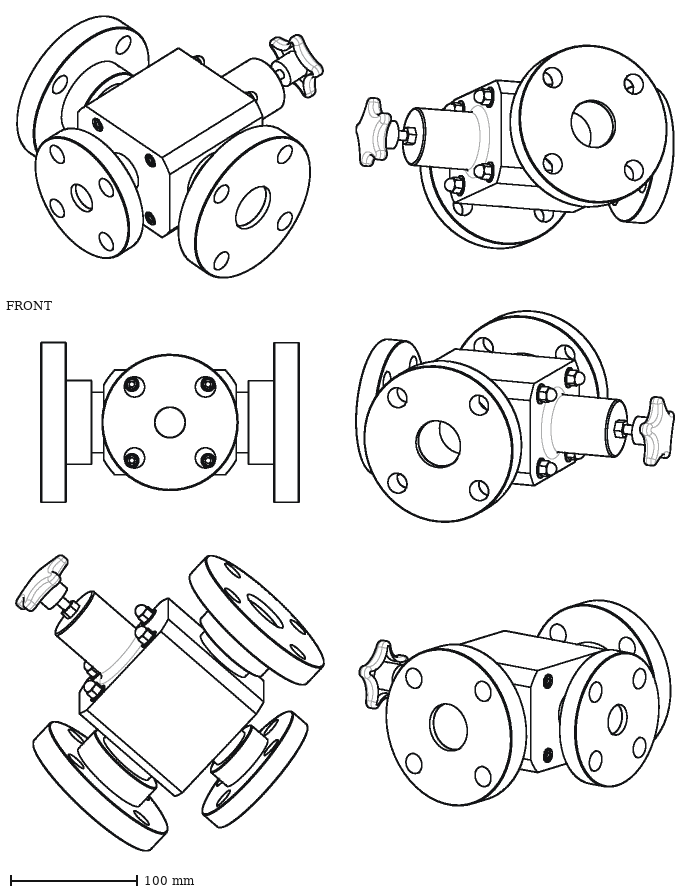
import cadquery as cq
import math

OVERLAP = 1.2

block_half_x = 52.6
block_half_z = 41.7
block_corner_radius = 60.5
block_front = -43.5
block_back = 58.5

edge_chamfer = 0.7
bore_mouth_depth = 4.9
flange_hole_diameter = 16.0

side_face = 102.5
side_flange_diameter = 127.0
side_flange_thickness = 20.2
side_hub_diameter = 66.5
side_hub_length = 20.5
side_neck_diameter = 48.2
side_hole_pitch = 69.7
side_mouth_diameter = 38.0
side_bore_diameter = 37.5

front_face = 90.0
front_flange_diameter = 108.0
front_flange_thickness = 16.5
front_hub_diameter = 49.2
front_hub_length = 17.5
front_neck_diameter = 33.5
front_hole_pitch = 56.3
front_mouth_diameter = 24.4
front_bore_diameter = 23.9

bolt_pitch = 60.5
bolt_recess_diameter = 11.0
bolt_recess_depth = 4.9
bolt_head_diameter = 9.5
bolt_head_face_diameter = 7.5
bolt_head_sink = 0.5
bolt_socket_diameter = 4.5
bolt_socket_depth = 2.2
washer_diameter = 15.8
washer_thickness = 0.7
nut_flats = 11.0
nut_height = 6.5
nut_bevel = 0.7
dome_diameter = 10.2
dome_height = 6.0

bonnet_diameter = 45.8
bonnet_end = 112.0
bonnet_chamfer = 1.2
bonnet_root_fillet = 5.8

stem_nut_flats = 12.5
stem_nut_end = 118.7
stem_diameter = 7.5
grip_hub_start = 129.0
grip_hub_diameter = 22.2

grip_start = 141.0
grip_end = 153.7
lobe_count = 5
lobe_tip_radius = 28.5
lobe_diameter = 9.5
valley_radius = 14.5
crown_radius = 109.6
grip_top_fillet = 3.0
grip_bottom_fillet = 3.2
grip_rim_width = 3.5
grip_hollow_depth = 5.8


def y_plane(y, x=0.0, z=0.0):
    """Sketch plane facing +Y: local x is -X, local y is Z."""
    return cq.Plane(origin=(x, y, z), xDir=(-1, 0, 0), normal=(0, 1, 0))


def y_cylinder(diameter, y_start, y_end, x=0.0, z=0.0):
    return cq.Workplane(y_plane(y_start, x, z)).circle(diameter / 2).extrude(y_end - y_start)


def z_cylinder(diameter, z_start, length):
    return cq.Workplane().workplane(offset=z_start).circle(diameter / 2).extrude(length)


def y_hexagon(across_flats, y_start, y_end, x=0.0, z=0.0):
    """Hexagonal prism along Y, with two corners along X."""
    across_corners = across_flats / math.cos(math.pi / 6)
    plane = cq.Workplane(y_plane(y_start, x, z))
    return plane.polygon(6, across_corners).extrude(y_end - y_start)


def make_block():
    plane = cq.Workplane(y_plane(block_front))
    length = block_back - block_front
    bar = plane.rect(2 * block_half_x, 2 * block_half_z).extrude(length)
    return bar.intersect(y_cylinder(2 * block_corner_radius, block_front, block_back))


def make_port(
    face, block_face, flange_diameter, flange_thickness, hub_diameter, hub_length, neck_diameter
):
    """Flanged port along +Z, from the block face out to the flange face."""
    hub_top = face - flange_thickness
    hub_start = hub_top - hub_length
    neck_start = block_face - OVERLAP
    neck = z_cylinder(neck_diameter, neck_start, hub_top - neck_start)
    hub = z_cylinder(hub_diameter, hub_start, hub_length).faces("<Z").chamfer(edge_chamfer)
    flange = z_cylinder(flange_diameter, hub_top, flange_thickness)
    flange = flange.faces("<Z or >Z").chamfer(edge_chamfer)
    return neck.union(hub).union(flange)


def make_port_cuts(face, block_face, hole_pitch, mouth_diameter, bore_diameter):
    """Stepped bore down to the block face, and four flange holes on a square."""
    top = cq.Workplane().workplane(offset=face)
    mouth = top.circle(mouth_diameter / 2).extrude(-bore_mouth_depth)
    bore = top.circle(bore_diameter / 2).extrude(block_face - face)
    holes = top.rect(hole_pitch, hole_pitch, forConstruction=True).vertices()
    holes = holes.circle(flange_hole_diameter / 2).extrude(block_face - face)
    return mouth.union(bore).union(holes)


def make_side_port():
    port = make_port(
        side_face, block_half_x,
        side_flange_diameter, side_flange_thickness,
        side_hub_diameter, side_hub_length,
        side_neck_diameter,
    )
    cuts = make_port_cuts(
        side_face, block_half_x, side_hole_pitch, side_mouth_diameter, side_bore_diameter
    )
    return port.cut(cuts)


def make_front_port():
    port = make_port(
        front_face, -block_front,
        front_flange_diameter, front_flange_thickness,
        front_hub_diameter, front_hub_length,
        front_neck_diameter,
    )
    cuts = make_port_cuts(
        front_face, -block_front, front_hole_pitch, front_mouth_diameter, front_bore_diameter
    )
    return port.cut(cuts)


def make_bonnet():
    return y_cylinder(bonnet_diameter, block_back, bonnet_end).faces(">Y").chamfer(bonnet_chamfer)


def make_cap_nut(x, z):
    """Washer and domed hexagon nut on the back of the block, nut corners along Z."""
    washer_top = block_back + washer_thickness
    nut_top = washer_top + nut_height
    washer = y_cylinder(washer_diameter, block_back - OVERLAP, washer_top, x, z)
    nut = y_hexagon(nut_flats, block_back, nut_top, x, z).rotate((x, 0, z), (x, 1, z), 90)
    nut_corners = nut_flats / math.cos(math.pi / 6)
    bevel = y_cylinder(nut_corners, block_back, nut_top, x, z).faces(">Y").chamfer(nut_bevel)
    nut = nut.intersect(bevel)
    dome_radius = dome_diameter / 2
    dome_centre = nut_top + dome_height - dome_radius
    dome = cq.Workplane().sphere(dome_radius).translate((x, dome_centre, z))
    return washer.union(nut).union(dome)


def make_bolt_recess(x, z):
    """Ring groove around a bolt head, its bevel and its pointed socket, all to be cut away."""
    recess_r = bolt_recess_diameter / 2
    head_r = bolt_head_diameter / 2
    face_r = bolt_head_face_diameter / 2
    socket_r = bolt_socket_diameter / 2
    face_depth = bolt_head_sink
    bevel_depth = face_depth + head_r - face_r
    socket_end = face_depth + bolt_socket_depth
    profile = cq.Workplane("XY").polyline([
        (0, 0),
        (recess_r, 0),
        (recess_r, bolt_recess_depth),
        (head_r, bolt_recess_depth),
        (head_r, bevel_depth),
        (face_r, face_depth),
        (socket_r, face_depth),
        (socket_r, socket_end),
        (0, socket_end + socket_r),
    ]).close()
    return profile.revolve(360, (0, 0), (0, 1)).translate((x, block_front, z))


def star_outline(plane):
    """Lobes with tangent concave arcs between them, one lobe on local +y."""
    lobe_radius = lobe_diameter / 2
    lobe_centre = lobe_tip_radius - lobe_radius
    half_step = math.pi / lobe_count
    half_chord = lobe_centre * math.sin(half_step)
    centre_gap = valley_radius + lobe_radius
    valley_centre = lobe_centre * math.cos(half_step) + math.sqrt(centre_gap**2 - half_chord**2)

    def polar(radius, angle):
        return (radius * math.cos(angle), radius * math.sin(angle))

    def tangent_point(lobe_angle, valley_angle):
        lobe_x, lobe_y = polar(lobe_centre, lobe_angle)
        valley_x, valley_y = polar(valley_centre, valley_angle)
        share = lobe_radius / centre_gap
        return (lobe_x + share * (valley_x - lobe_x), lobe_y + share * (valley_y - lobe_y))

    first_angle = math.pi / 2
    outline = cq.Workplane(plane).moveTo(*tangent_point(first_angle, first_angle - half_step))
    for index in range(lobe_count):
        angle = first_angle + 2 * half_step * index
        valley_angle = angle + half_step
        next_angle = valley_angle + half_step
        outline = outline.threePointArc(polar(lobe_tip_radius, angle), tangent_point(angle, valley_angle))
        valley_bottom = polar(valley_centre - valley_radius, valley_angle)
        outline = outline.threePointArc(valley_bottom, tangent_point(next_angle, valley_angle))
    return outline.close()


def make_grip():
    """Crowned star grip with rounded edges, hollow around its hub."""
    star = star_outline(y_plane(grip_start)).extrude(grip_end - grip_start + OVERLAP)
    crown = cq.Workplane().sphere(crown_radius).translate((0, grip_end - crown_radius, 0))
    grip = star.intersect(crown)
    grip = grip.faces("<Y").edges().fillet(grip_bottom_fillet)
    grip = grip.faces(">Y").edges().fillet(grip_top_fillet)
    hollow = star_outline(y_plane(grip_start)).offset2D(-grip_rim_width).extrude(grip_hollow_depth)
    hub = y_cylinder(grip_hub_diameter, grip_hub_start, grip_start + grip_hollow_depth + OVERLAP)
    return grip.cut(hollow).union(hub)


side_port = make_side_port()
left_port = side_port.rotate((0, 0, 0), (0, 1, 0), -90)
right_port = side_port.rotate((0, 0, 0), (0, 1, 0), 90)
front_port = make_front_port().rotate((0, 0, 0), (1, 0, 0), 90)

body = make_block().union(left_port).union(right_port).union(front_port)

body = body.union(make_bonnet())
bonnet_root = cq.selectors.BoxSelector(
    (-bonnet_diameter, block_back - OVERLAP, -bonnet_diameter),
    (bonnet_diameter, block_back + OVERLAP, bonnet_diameter),
)
body = body.edges(bonnet_root).edges("%CIRCLE").fillet(bonnet_root_fillet)

for bolt_x in (-bolt_pitch / 2, bolt_pitch / 2):
    for bolt_z in (-bolt_pitch / 2, bolt_pitch / 2):
        body = body.union(make_cap_nut(bolt_x, bolt_z))
        body = body.cut(make_bolt_recess(bolt_x, bolt_z))

stem_nut = y_hexagon(stem_nut_flats, bonnet_end - OVERLAP, stem_nut_end)
stem = y_cylinder(stem_diameter, bonnet_end, grip_hub_start + OVERLAP)
result = body.union(stem_nut).union(stem).union(make_grip())